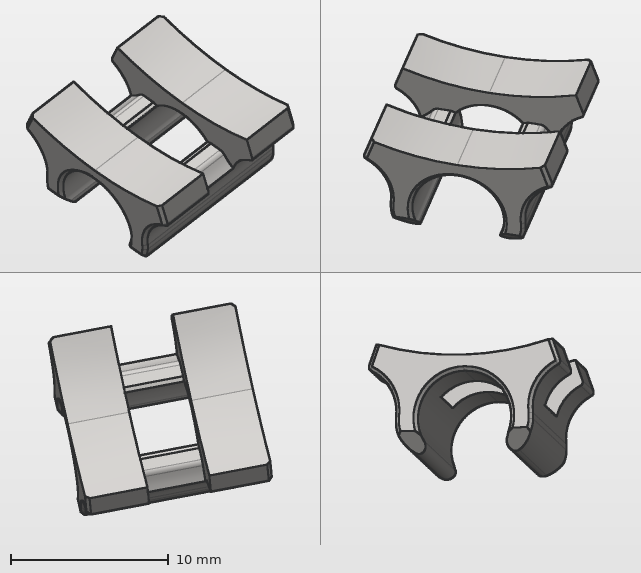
import cadquery as cq
import math

length = 12.0
half_width = 6.18
bore_radius = 3.0
leg_half_width = 4.42
leg_flat_top = 0.15
leg_flat_bottom = -0.25
leg_curl_radius = 2.0
hook_tip_radius = 0.5
wing_radius = 3.0
wing_center_z = 0.53
wing_center_x = leg_half_width + math.sqrt(wing_radius**2 - (wing_center_z - leg_flat_top)**2)
wing_corner_radius = 0.26
wing_top_x = 5.69
wing_top_z = 4.88
wing_lower_x = 6.24
saddle_bottom_z = 4.0
end_chamfer = 0.25
bottom_bevel = 1.27

window_length = 4.0
window_outer_z = 1.27
ridge_z = 2.14
ridge_outer_x = 3.34
ridge_inner_x = 2.53
ridge_round_width = 0.36
ridge_round_drop = 0.16
slope_sag = 0.04
inner_bevel_width = 0.32
clearance = 1.24
selection_margin = 0.12


def outside_x(z):
    """Half-width on the concave wing underside at height z."""
    rise = z - wing_center_z
    return wing_center_x - math.sqrt(wing_radius**2 - rise**2)


def wing_z(x):
    """Height of the concave wing underside at distance x from the middle."""
    inset = wing_center_x - x
    return wing_center_z + math.sqrt(wing_radius**2 - inset**2)


def hook_tip_center():
    """Center of the tip round, tangent to both the bore and the outer curl."""
    curl_x = leg_half_width - leg_curl_radius
    curl_z = leg_flat_bottom
    from_bore = bore_radius + hook_tip_radius
    from_curl = leg_curl_radius - hook_tip_radius
    spacing = math.hypot(curl_x, curl_z)
    along = (from_bore**2 - from_curl**2 + spacing**2) / (2 * spacing)
    across = math.sqrt(from_bore**2 - along**2)
    return (
        (along * curl_x + across * curl_z) / spacing,
        (along * curl_z - across * curl_x) / spacing,
    )


def polar(center, radius, angle):
    """Point on a circle at an angle in radians."""
    return (center[0] + radius * math.cos(angle), center[1] + radius * math.sin(angle))


def extrude_along_y(sketch, depth):
    """Extrude an XZ outline evenly to both sides of the XZ plane."""
    return sketch.extrude(depth, clean=False).translate((0, depth / 2, 0))


def clip_body():
    """Saddle with two wings and two hooked legs, symmetric about the YZ plane."""
    wing_center = (wing_center_x, wing_center_z)
    curl_center = (leg_half_width - leg_curl_radius, leg_flat_bottom)
    tip = hook_tip_center()
    saddle_depth = wing_top_z - saddle_bottom_z
    saddle_radius = (wing_top_x**2 + saddle_depth**2) / (2 * saddle_depth)
    saddle_center = (0, saddle_bottom_z + saddle_radius)

    wing_corner = (wing_lower_x, wing_z(wing_lower_x))
    wing_angle = math.atan2(wing_corner[1] - wing_center[1], wing_corner[0] - wing_center[0])
    curl_end_angle = math.atan2(tip[1] - curl_center[1], tip[0] - curl_center[0])
    bore_end_angle = math.atan2(tip[1], tip[0])
    tip_mid_angle = (curl_end_angle + bore_end_angle - math.pi) / 2
    saddle_mid_angle = -math.pi / 2 + math.asin(wing_top_x / saddle_radius) / 2

    profile = (
        cq.Workplane("XZ")
        .moveTo(0, saddle_bottom_z)
        .threePointArc(polar(saddle_center, saddle_radius, saddle_mid_angle), (wing_top_x, wing_top_z))
        .lineTo(*wing_corner)
        .threePointArc(
            polar(wing_center, wing_radius, (wing_angle + math.pi) / 2),
            (leg_half_width, leg_flat_top),
        )
        .lineTo(leg_half_width, leg_flat_bottom)
        .threePointArc(
            polar(curl_center, leg_curl_radius, curl_end_angle / 2),
            polar(curl_center, leg_curl_radius, curl_end_angle),
        )
        .threePointArc(
            polar(tip, hook_tip_radius, tip_mid_angle),
            polar((0, 0), bore_radius, bore_end_angle),
        )
        .threePointArc(
            polar((0, 0), bore_radius, (bore_end_angle + math.pi / 2) / 2),
            (0, bore_radius),
        )
        .mirrorY()
    )
    body = extrude_along_y(profile, length)
    wing_edges = []
    for side in (-1, 1):
        wing_edge = cq.selectors.NearestToPointSelector((side * wing_corner[0], 0, wing_corner[1]))
        wing_edges += body.edges("|Y").edges(wing_edge).vals()
    return cq.Workplane(body.val().fillet(wing_corner_radius, wing_edges))


def chamfer_ends(body):
    """Bevel both end outlines, leaving the saddle edge sharp."""
    saddle_zone = cq.selectors.BoxSelector(
        (-wing_top_x, -length, saddle_bottom_z - selection_margin),
        (wing_top_x, length, wing_top_z),
    )
    for end in ("<Y", ">Y"):
        outline = body.faces(end).edges()
        saddle = outline.edges(saddle_zone).vals()
        beveled = [edge for edge in outline.vals() if not any(edge.isSame(s) for s in saddle)]
        body = cq.Workplane(body.val().chamfer(end_chamfer, None, beveled))
    return body


def bottom_bevels():
    """45-degree wedges removed below both ends of the hooks."""
    bottom_z = hook_tip_center()[1] - hook_tip_radius
    wedges = cq.Workplane("YZ")
    for side in (-1, 1):
        wedge = (
            cq.Workplane("YZ")
            .polyline([
                (side * (length / 2 - bottom_bevel - clearance), bottom_z - clearance),
                (side * (length / 2 + clearance), bottom_z + bottom_bevel + clearance),
                (side * (length / 2 + clearance), bottom_z - clearance),
            ])
            .close()
            .extrude(half_width + clearance, both=True)
        )
        wedges = wedges.add(wedge)
    return wedges.combine()


def window():
    """Opening through the saddle, its floor shaped to the top of the leg."""
    outer = (outside_x(window_outer_z), window_outer_z)
    round_start = (ridge_outer_x + ridge_round_width, ridge_z - ridge_round_drop)
    slope_run = outer[0] - round_start[0]
    slope_drop = round_start[1] - outer[1]
    slope_length = math.hypot(slope_run, slope_drop)
    slope_mid = (
        (outer[0] + round_start[0]) / 2 - slope_sag * slope_drop / slope_length,
        (outer[1] + round_start[1]) / 2 - slope_sag * slope_run / slope_length,
    )
    bevel_x = ridge_inner_x - inner_bevel_width
    bevel_z = math.sqrt(bore_radius**2 - bevel_x**2)
    profile = (
        cq.Workplane("XZ")
        .moveTo(0, bevel_z)
        .lineTo(bevel_x, bevel_z)
        .lineTo(ridge_inner_x, ridge_z)
        .lineTo(ridge_outer_x, ridge_z)
        .tangentArcPoint(round_start, relative=False)
        .threePointArc(slope_mid, outer)
        .lineTo(half_width + clearance, window_outer_z)
        .lineTo(half_width + clearance, wing_top_z + clearance)
        .lineTo(0, wing_top_z + clearance)
        .mirrorY()
    )
    return extrude_along_y(profile, window_length)


clip = chamfer_ends(clip_body())
result = clip.cut(bottom_bevels(), clean=False).cut(window(), clean=False)